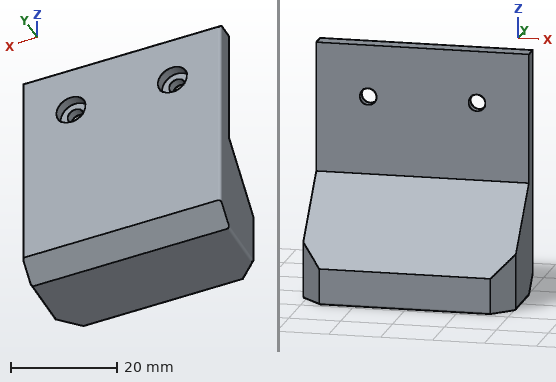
import cadquery as cq

width = 41.0
depth = 18.8
height = 47.0

plate_thickness = 3.8
nose_height = 7.0
corner_cut = 4.0
edge_radius = 0.5

hole_diameter = 3.2
counterbore_diameter = 6.0
counterbore_depth = 2.0
hole_spacing = 20.95
hole_drop = 10.0

ramp_top = nose_height + depth - plate_thickness


def bracket_body():
    """Extrude the side outline across the width."""
    outline = [
        (-corner_cut, 0),
        (-depth, 0),
        (-depth, nose_height),
        (-plate_thickness, ramp_top),
        (-plate_thickness, height),
        (0, height),
        (0, corner_cut),
    ]
    return cq.Workplane("YZ").polyline(outline).close().extrude(width / 2, both=True)


def cut_nose_corners(body):
    """Cut the two upright front corners at 45 degrees."""
    for side in (-1, 1):
        corner = [
            (side * width / 2, -depth),
            (side * (width / 2 - corner_cut), -depth),
            (side * width / 2, -depth + corner_cut),
        ]
        body = body.cut(cq.Workplane("XY").polyline(corner).close().extrude(height))
    return body


def round_edges(body):
    """Round the back and bottom faces, except where they meet the sloped heel."""
    back_edges = body.faces(">Y").edges("not(<Z)")
    bottom_edges = body.faces("<Z").edges("not(>Y)")
    return body.newObject(back_edges.vals() + bottom_edges.vals()).fillet(edge_radius)


def drill_holes(body):
    """Drill two mounting holes through the plate, with counterbores at the back."""
    hole_height = height - hole_drop
    for side in (-1, 1):
        mouth = cq.Vector(side * hole_spacing / 2, 0, hole_height)
        inward = cq.Vector(0, -1, 0)
        bore = cq.Solid.makeCylinder(hole_diameter / 2, plate_thickness, mouth, inward)
        counterbore = cq.Solid.makeCylinder(counterbore_diameter / 2, counterbore_depth, mouth, inward)
        body = body.cut(cq.Workplane(bore)).cut(cq.Workplane(counterbore))
    return body


result = drill_holes(round_edges(cut_nose_corners(bracket_body())))